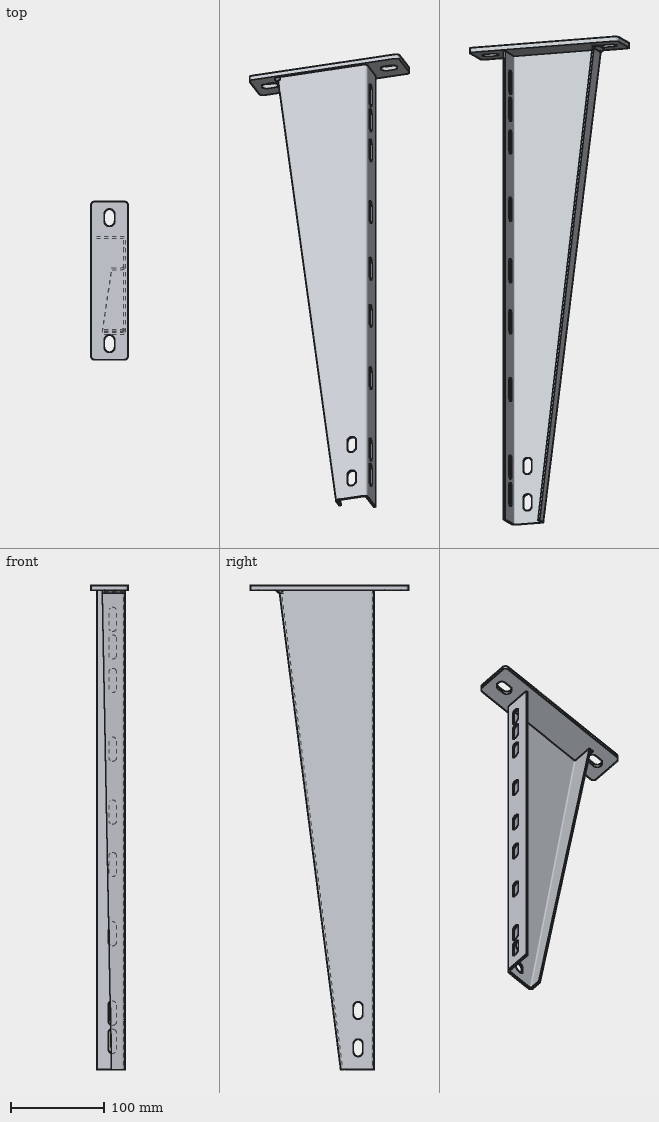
import cadquery as cq
import math

PLATE_WIDTH = 40.0
PLATE_LENGTH = 170.0
PLATE_THICKNESS = 5.0
PLATE_CORNER_RADIUS = 4.0
PLATE_SLOT_LENGTH = 18.0
PLATE_SLOT_WIDTH = 11.0
PLATE_SLOT_SPACING = 135.5

OVERALL_HEIGHT = 520.5
SHEET = 2.0
BEND_RADIUS = 3.5
STUB_LENGTH = 2.5
LIP_HEIGHT = 3.0
LIP_PROJECTION = 3.5
WEB_OUTER_X = 16.5
CHANNEL_WIDTH = 30.0
REAR_Y = 48.0
DEPTH_TOP = 102.0
DEPTH_BOTTOM = 36.0
FRONT_FLANGE_TOP = 24.5
FRONT_FLANGE_BOTTOM = 14.5

WEB_SLOT_LENGTH = 18.0
WEB_SLOT_WIDTH = 10.0
WEB_SLOT_FROM_REAR = 17.0
WEB_SLOT_HEIGHTS = (23.5, 63.5)
REAR_SLOT_LENGTH = 26.0
REAR_SLOT_WIDTH = 8.5
REAR_SLOT_FROM_EDGE = 16.5
REAR_SLOT_HEIGHTS = (30.5, 61.0, 146.0, 220.5, 277.0, 344.5, 418.5, 454.0, 484.0)

LEAN_RUN = DEPTH_TOP - DEPTH_BOTTOM
PLATE_BOTTOM_Z = OVERALL_HEIGHT - PLATE_THICKNESS
LEAN_ANGLE = math.atan2(LEAN_RUN, PLATE_BOTTOM_Z)
FOOT_DIP = SHEET * math.sin(LEAN_ANGLE)
ARM_HEIGHT = PLATE_BOTTOM_Z - FOOT_DIP
FLANGE_LENGTH = ARM_HEIGHT / math.cos(LEAN_ANGLE)
FREE_EDGE_X = WEB_OUTER_X - CHANNEL_WIDTH
INNER_RADIUS = BEND_RADIUS - SHEET


def make_plate():
    """Flat head plate with rounded corners and one lengthwise slot near each end."""
    plate = (
        cq.Workplane("XY")
        .workplane(offset=PLATE_BOTTOM_Z)
        .rect(PLATE_WIDTH, PLATE_LENGTH)
        .extrude(PLATE_THICKNESS)
        .edges("|Z")
        .fillet(PLATE_CORNER_RADIUS)
    )
    return (
        plate.faces(">Z")
        .workplane(origin=(0, 0, 0))
        .rarray(5, PLATE_SLOT_SPACING, 1, 2)
        .slot2D(PLATE_SLOT_LENGTH, PLATE_SLOT_WIDTH, 90)
        .cutThruAll()
    )


def angle_section(plane, flange_width):
    """Rounded L section: outer corner at the origin, flange along local -x, web stub along +y."""
    return (
        cq.Workplane(plane)
        .moveTo(-flange_width, 0)
        .lineTo(-BEND_RADIUS, 0)
        .radiusArc((0, BEND_RADIUS), -BEND_RADIUS)
        .lineTo(0, BEND_RADIUS + STUB_LENGTH)
        .lineTo(-SHEET, BEND_RADIUS + STUB_LENGTH)
        .lineTo(-SHEET, BEND_RADIUS)
        .radiusArc((-BEND_RADIUS, SHEET), INNER_RADIUS)
        .lineTo(-flange_width, SHEET)
        .close()
    )


def make_web():
    """Flat tapered web between the two bends, overlapping the straight stub beside each bend."""
    edge_inset = BEND_RADIUS + STUB_LENGTH / 2
    return (
        cq.Workplane("YZ")
        .workplane(offset=WEB_OUTER_X - SHEET)
        .polyline([
            (REAR_Y - edge_inset, FOOT_DIP),
            (REAR_Y - edge_inset, PLATE_BOTTOM_Z),
            (REAR_Y - DEPTH_TOP + edge_inset, PLATE_BOTTOM_Z),
            (REAR_Y - DEPTH_BOTTOM + edge_inset, FOOT_DIP),
        ])
        .close()
        .extrude(SHEET)
    )


def make_rear_flange():
    """Vertical flange with its bend, mirrored so that the stub points towards -Y."""
    plane = cq.Plane(origin=(WEB_OUTER_X, 0, FOOT_DIP), xDir=(1, 0, 0), normal=(0, 0, 1))
    flange = angle_section(plane, CHANNEL_WIDTH).extrude(ARM_HEIGHT)
    return flange.mirror("XZ").translate((0, REAR_Y, 0))


def make_front_flange():
    """Inclined flange with its bend, cut square at both ends and narrowing downwards."""
    run_up = (0, -math.sin(LEAN_ANGLE), math.cos(LEAN_ANGLE))
    foot = (WEB_OUTER_X, REAR_Y - DEPTH_BOTTOM, 0)
    plane = cq.Plane(origin=foot, xDir=(1, 0, 0), normal=run_up)
    flange = angle_section(plane, FRONT_FLANGE_TOP).extrude(FLANGE_LENGTH)
    outward = (0, -math.cos(LEAN_ANGLE), -math.sin(LEAN_ANGLE))
    outer_face = cq.Plane(origin=foot, xDir=(1, 0, 0), normal=outward)
    trim = (
        cq.Workplane(outer_face)
        .polyline([
            (-FRONT_FLANGE_BOTTOM, 0),
            (-FRONT_FLANGE_TOP, FLANGE_LENGTH),
            (-FRONT_FLANGE_TOP, 0),
        ])
        .close()
        .extrude(-BEND_RADIUS)
    )
    flange = flange.cut(trim)
    plate_space = (
        cq.Workplane("XY")
        .workplane(offset=PLATE_BOTTOM_Z)
        .rect(PLATE_WIDTH, PLATE_LENGTH)
        .extrude(PLATE_THICKNESS)
    )
    return flange.cut(plate_space)


def make_lip():
    """Outward flare along the top of the front flange and its bend, seated under the head plate."""
    top_y = REAR_Y - DEPTH_TOP
    lip_bottom = cq.Plane(origin=(WEB_OUTER_X, top_y, PLATE_BOTTOM_Z - LIP_HEIGHT))
    lip_top = cq.Plane(origin=(WEB_OUTER_X, top_y - LIP_PROJECTION, PLATE_BOTTOM_Z))
    wires = [angle_section(plane, FRONT_FLANGE_TOP).val() for plane in (lip_bottom, lip_top)]
    return cq.Workplane(cq.Solid.makeLoft(wires, True))


def make_arm():
    """Folded channel with slots through its web and its rear flange."""
    arm = make_web().union(make_rear_flange()).union(make_front_flange()).union(make_lip())
    web_slots = (
        cq.Workplane("YZ")
        .pushPoints([(REAR_Y - WEB_SLOT_FROM_REAR, FOOT_DIP + height) for height in WEB_SLOT_HEIGHTS])
        .slot2D(WEB_SLOT_LENGTH, WEB_SLOT_WIDTH, 90)
        .extrude(WEB_OUTER_X)
    )
    slot_x = FREE_EDGE_X + REAR_SLOT_FROM_EDGE
    rear_slots = (
        cq.Workplane("XZ", origin=(0, REAR_Y, 0))
        .pushPoints([(slot_x, FOOT_DIP + height) for height in REAR_SLOT_HEIGHTS])
        .slot2D(REAR_SLOT_LENGTH, REAR_SLOT_WIDTH, 90)
        .extrude(SHEET)
    )
    return arm.cut(web_slots).cut(rear_slots)


plate = make_plate()
arm = make_arm()

result = cq.Compound.makeCompound([plate.val(), arm.val()])